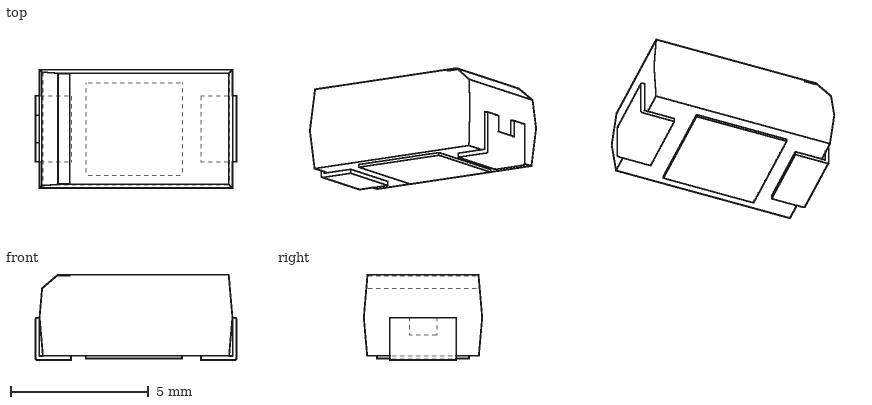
import cadquery as cq
import math

overall_length = 7.3
case_width = 4.3
overall_height = 3.1

strip_thickness = 0.15
terminal_width = 2.4
terminal_height = 1.54
foot_length = 1.3
bend_radius = 0.08
notch_width = 1.0
notch_depth = 0.62

case_length = overall_length - 2 * strip_thickness
case_bottom = strip_thickness
parting_height = overall_height / 2
draft_angle = 5.0
bevel_height = 0.5
bevel_top_x = -2.83

stripe_length = 0.4
stripe_depth = 0.05
stripe_margin = 0.02

pad_length = 3.5
pad_width = 3.35
pad_thickness = 0.1
pad_center_x = -0.08

upper_height = overall_height - parting_height
lower_height = parting_height - case_bottom
draft_slope = math.tan(math.radians(draft_angle))
top_width = case_width - 2 * upper_height * draft_slope


def make_bevel_cutter():
    """Wedge that removes the upper edge of the case at its -X end."""
    bevel_foot_z = overall_height - bevel_height
    bevel_foot_x = -case_length / 2 + (bevel_foot_z - parting_height) * draft_slope
    return (
        cq.Workplane("XZ")
        .moveTo(bevel_foot_x, bevel_foot_z)
        .lineTo(bevel_top_x, overall_height)
        .lineTo(-case_length / 2, overall_height)
        .lineTo(-case_length / 2, bevel_foot_z)
        .close()
        .extrude(case_width / 2, both=True)
    )


def make_stripe():
    """Flat bar across the top face, flush with it."""
    return cq.Workplane("XY").box(
        stripe_length,
        top_width - 2 * stripe_margin,
        stripe_depth,
        centered=(False, True, False),
    ).translate((bevel_top_x + stripe_margin, 0, overall_height - stripe_depth))


def make_case(stripe):
    """Beveled case with a recess that fits the stripe."""
    parting_plane = cq.Workplane("XY", origin=(0, 0, parting_height))
    upper_half = parting_plane.rect(case_length, case_width).extrude(upper_height, taper=draft_angle)
    lower_half = parting_plane.rect(case_length, case_width).extrude(-lower_height, taper=draft_angle)
    return upper_half.union(lower_half).cut(make_bevel_cutter()).cut(stripe)


def make_terminal():
    """L-shaped strip at the -X end: an upright leg and a foot below the case."""
    outer_x = -overall_length / 2
    inner_x = outer_x + strip_thickness
    return (
        cq.Workplane("XZ")
        .moveTo(outer_x, 0)
        .lineTo(outer_x + foot_length, 0)
        .lineTo(outer_x + foot_length, strip_thickness)
        .lineTo(inner_x, strip_thickness)
        .lineTo(inner_x, terminal_height)
        .lineTo(outer_x, terminal_height)
        .close()
        .extrude(terminal_width / 2, both=True)
        .edges("|Y and <X")
        .fillet(bend_radius)
    )


def make_notched_terminal():
    """Terminal with a rectangular notch in the top of its leg."""
    notch = cq.Workplane("XY").box(
        strip_thickness, notch_width, notch_depth, centered=(False, True, False)
    ).translate((-overall_length / 2, 0, terminal_height - notch_depth))
    return make_terminal().cut(notch)


def make_glue_pad():
    """Thin plate on the underside of the case."""
    return cq.Workplane("XY").box(
        pad_length, pad_width, pad_thickness, centered=(True, True, False)
    ).translate((pad_center_x, 0, case_bottom - pad_thickness))


stripe = make_stripe()
case = make_case(stripe)
notched_terminal = make_notched_terminal()
plain_terminal = make_terminal().mirror("YZ")
glue_pad = make_glue_pad()

result = cq.Compound.makeCompound([
    case.val(),
    stripe.val(),
    notched_terminal.val(),
    plain_terminal.val(),
    glue_pad.val(),
])